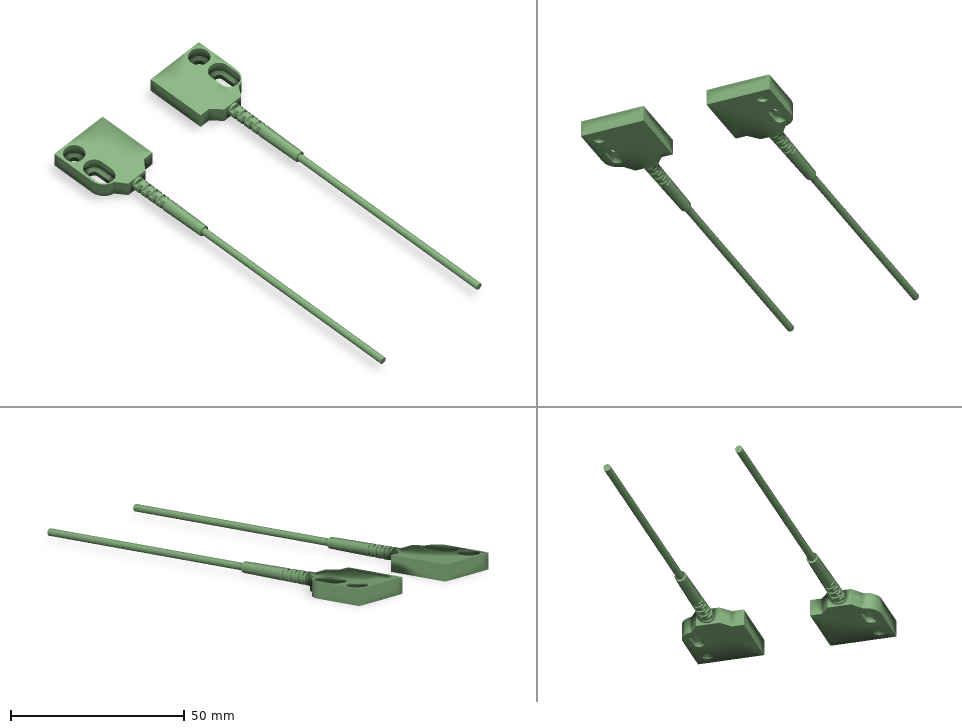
import cadquery as cq
import math

overall_length = 122.3
overall_width = 60.0

housing_length = 20.0
housing_width = overall_width / 3
housing_thickness = 5.0
tip_end_x = 23.4
tip_half_width = 3.5
corner_radius = 5.0
shoulder_inset = 4.2
cable_inset = 9.9
plain_side_length = 3.5

hole_inset = 4.0
round_hole_x = 4.0
slot_x = 14.1
slot_travel = 4.0
hole_diameter = 3.2
counterbore_diameter = 6.5
counterbore_depth = 3.3

sleeve_end_x = 50.3
sleeve_start_diameter = 4.2
sleeve_end_diameter = 3.4
regular_notch_width = 0.7
regular_floor_diameter = 3.0
first_notch_width = 1.0
first_floor_diameter = 2.2
notch_spacing = 1.5
regular_notch_count = 7
first_notch_offset = 1.2
regular_notch_offset = 2.9
bridge_width = 1.8
notch_rounding = 0.2

cable_diameter = 2.2

half_width = housing_width / 2
mid_height = housing_thickness / 2
unit_offset = (overall_width - housing_width) / 2
cable_y = cable_inset - half_width
hole_y = half_width - hole_inset
sleeve_length = sleeve_end_x - tip_end_x


def cylinder_along_x(start_x, length, diameter):
    return cq.Workplane("YZ", origin=(start_x, cable_y, mid_height)).circle(diameter / 2).extrude(length)


def make_housing():
    """Plate whose outer edge, with the rounded corner and the holes, is on the +Y side."""
    arc_start_x = housing_length - corner_radius
    shoulder_y = half_width - shoulder_inset
    shoulder_x = arc_start_x + math.sqrt(corner_radius**2 - (corner_radius - shoulder_inset) ** 2)
    plate = (
        cq.Workplane("XY")
        .moveTo(0, -half_width)
        .lineTo(housing_length, -half_width)
        .lineTo(housing_length, plain_side_length - half_width)
        .lineTo(tip_end_x, cable_y - tip_half_width)
        .lineTo(tip_end_x, cable_y + tip_half_width)
        .lineTo(shoulder_x, shoulder_y)
        .radiusArc((arc_start_x, half_width), -corner_radius)
        .lineTo(0, half_width)
        .close()
        .extrude(housing_thickness)
    )
    top = plate.faces(">Z").workplane(origin=(0, 0, housing_thickness))
    plate = top.center(round_hole_x, hole_y).cboreHole(
        hole_diameter, counterbore_diameter, counterbore_depth
    )
    return plate.cut(slot_cutter(hole_diameter, housing_thickness)).cut(
        slot_cutter(counterbore_diameter, counterbore_depth)
    )


def slot_cutter(width, depth):
    """Mounting slot of the given width, sunk from the top face."""
    return (
        cq.Workplane("XY", origin=(slot_x, hole_y, housing_thickness))
        .slot2D(slot_travel + width, width)
        .extrude(-depth)
    )


def notch_cutter(center_x, width, floor_diameter, bridge_along_y):
    """Ring groove down to a round floor, interrupted by a bridge across Y or Z."""
    start_x = center_x - width / 2
    span = 2 * sleeve_start_diameter
    ring = cylinder_along_x(start_x, width, span).cut(
        cylinder_along_x(start_x, width, floor_diameter)
    )
    size_y, size_z = (span, bridge_width) if bridge_along_y else (bridge_width, span)
    bridge = cq.Workplane("XY", origin=(center_x, cable_y, mid_height)).box(width, size_y, size_z)
    return ring.cut(bridge)


def make_strain_relief():
    sleeve = (
        cq.Workplane("XZ", origin=(tip_end_x, cable_y, mid_height))
        .lineTo(0, sleeve_start_diameter / 2)
        .lineTo(sleeve_length, sleeve_end_diameter / 2)
        .lineTo(sleeve_length, 0)
        .close()
        .revolve(360, (0, 0), (1, 0))
    )
    first_x = tip_end_x + first_notch_offset
    sleeve = sleeve.cut(notch_cutter(first_x, first_notch_width, first_floor_diameter, True))
    for index in range(regular_notch_count):
        notch_x = tip_end_x + regular_notch_offset + index * notch_spacing
        bridge_along_y = index % 2 == 1
        sleeve = sleeve.cut(
            notch_cutter(notch_x, regular_notch_width, regular_floor_diameter, bridge_along_y)
        )
    rims = sleeve.faces("%CONE").edges("(not %LINE) and (not <X) and (not >X)")
    return rims.fillet(notch_rounding)


def make_cable():
    return cylinder_along_x(sleeve_end_x, overall_length - sleeve_end_x, cable_diameter)


bodies = []
for make_body in (make_housing, make_strain_relief, make_cable):
    upper_body = make_body().translate((0, unit_offset, 0))
    lower_body = upper_body.mirror("XZ")
    bodies += [upper_body.val(), lower_body.val()]

result = cq.Compound.makeCompound(bodies)